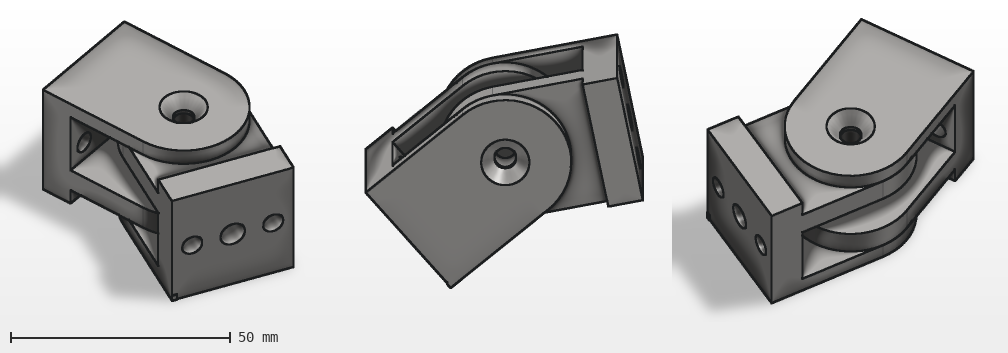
import cadquery as cq

width = 30.0
height = width
round_radius = width / 2
pivot_to_end = 28.9
base_thickness = 8.0
thin_plate = 4.0
thick_plate = 6.05
fold_angle = 29.2

pivot_hole_diameter = 4.9
countersink_diameter = 11.0
countersink_angle = 90
center_hole_diameter = 6.0
side_hole_diameter = 4.9
side_hole_spacing = 10.0


pad_height = 0.17
pad_width = 1.25
pad_length = 1.55


def hinge_plate(bottom, thickness):
    """Plate with its round end about the hinge axis, reaching to the end face at -X."""
    return (
        cq.Workplane("XY", origin=(0, 0, bottom))
        .moveTo(-pivot_to_end, -round_radius)
        .lineTo(0, -round_radius)
        .threePointArc((round_radius, 0), (0, round_radius))
        .lineTo(-pivot_to_end, round_radius)
        .close()
        .extrude(thickness)
    )


def end_hole(y, diameter):
    """Cylinder along X through the base, halfway up."""
    return (
        cq.Workplane("YZ", origin=(-pivot_to_end, y, 0))
        .circle(diameter / 2)
        .extrude(base_thickness)
    )


def make_bracket():
    """Bracket with its base at -X, thin plate on top, centred in Z on the origin."""
    base = cq.Workplane("XY").box(base_thickness, width, height)
    base = base.translate((-pivot_to_end + base_thickness / 2, 0, 0))
    thin = hinge_plate(height / 2 - thin_plate, thin_plate)
    thick = hinge_plate(-height / 2 + thin_plate, thick_plate)
    bracket = base.union(thin).union(thick)

    bracket = (
        bracket.copyWorkplane(cq.Workplane("XY", origin=(0, 0, height / 2)))
        .cskHole(pivot_hole_diameter, countersink_diameter, countersink_angle)
    )

    bracket = bracket.cut(end_hole(0, center_hole_diameter))
    for side in (-1, 1):
        bracket = bracket.cut(end_hole(side * side_hole_spacing, side_hole_diameter))
    return bracket


def corner_pad():
    """Raised pad on the +X end face, flush with its -Y and -Z edges."""
    return (
        cq.Workplane("XY")
        .box(pad_height, pad_width, pad_length, centered=False)
        .translate((pivot_to_end, -width / 2, -height / 2))
    )


hinge_axis = ((0, 0, 0), (0, 0, 1))
flip_axis = ((0, 0, 0), (0, 1, 0))
folded_bracket = make_bracket().rotate(*hinge_axis, fold_angle)
flipped_bracket = make_bracket().rotate(*flip_axis, 180).union(corner_pad())

result = cq.Compound.makeCompound([folded_bracket.val(), flipped_bracket.val()])